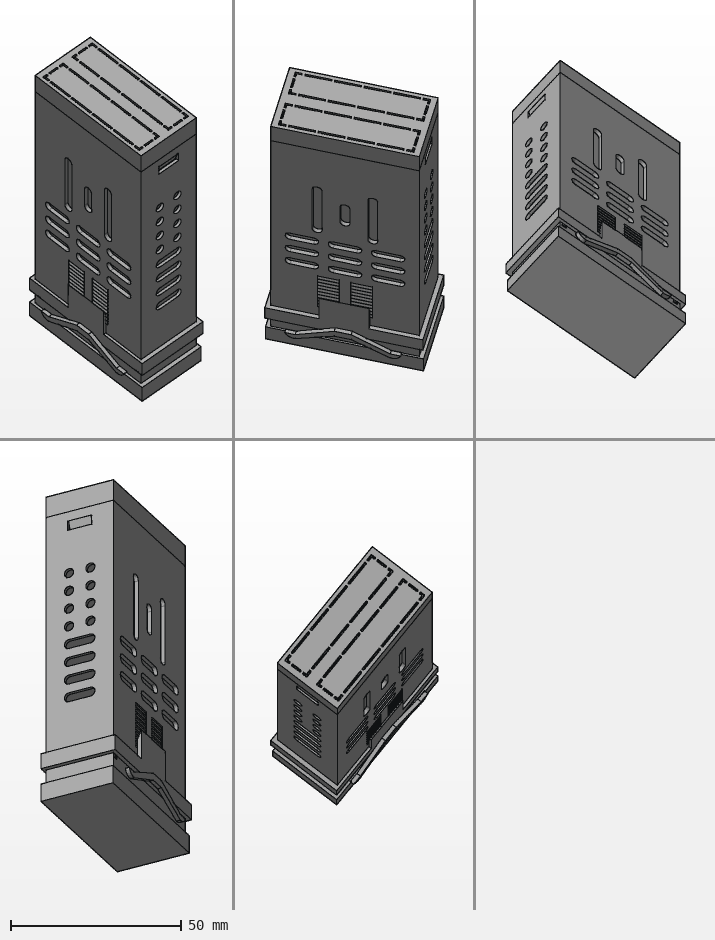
import cadquery as cq
import math


TOTAL_HEIGHT = 103.0
BEZEL_WIDTH = 48.0
BEZEL_DEPTH = 24.0
BEZEL_HEIGHT = 5.9
CAP_HEIGHT = 6.9
CAP_BOTTOM = TOTAL_HEIGHT - CAP_HEIGHT

HOUSING_WIDTH = 45.1
HOUSING_DEPTH = 22.5
HOUSING_HEIGHT = CAP_BOTTOM - BEZEL_HEIGHT
SIDE_WALL = 1.0
BROAD_WALL = 2.5
CAVITY_WIDTH = HOUSING_WIDTH - 2 * SIDE_WALL
CAVITY_DEPTH = HOUSING_DEPTH - 2 * BROAD_WALL
BROAD_FACE = HOUSING_DEPTH / 2

VENT_WIDTH = 3.0
VENT_LENGTH = 10.1
VENT_PITCH = 6.0
BROAD_VENT_DEPTH = 1.3
LOWEST_VENT_Z = 33.6
BROAD_VENT_ROWS = (1, 2, 3)
SIDE_SLOT_ROWS = (0, 1, 2, 3)
SIDE_HOLE_ROWS = (4, 5, 6, 7)
BROAD_VENT_SPACING = 13.1
UPRIGHT_VENT_Z = 67.1
UPRIGHT_VENT_SPACING = 8.4
LONG_VENT_LENGTH = 22.0
SIDE_HOLE_SPREAD = VENT_LENGTH - VENT_WIDTH

RACK_TOP = 34.9
RACK_INNER_X = 1.8
RACK_OUTER_X = 8.3
RACK_WIDTH = RACK_OUTER_X - RACK_INNER_X
RACK_HEIGHT = 15.0
TOOTH_COUNT = 10
TOOTH_PITCH = RACK_HEIGHT / TOOTH_COUNT
TOOTH_LAND = 0.1
TOOTH_ANGLE = 20.0
TOOTH_HEIGHT = TOOTH_PITCH - TOOTH_LAND
TOOTH_DEPTH = TOOTH_HEIGHT * math.tan(math.radians(TOOTH_ANGLE))

NOTCH_X = 20.9
NOTCH_WIDTH = 1.4
NOTCH_BOTTOM = 10.0
NOTCH_HEIGHT = 3.1
NOTCH_FLOOR_DEPTH = 0.2
NOTCH_CEILING_DEPTH = 0.8

WINDOW_WIDTH = 8.0
WINDOW_HEIGHT = 3.1
WINDOW_BOTTOM = 89.9
LATCH_CLEARANCE = 0.3
LATCH_WIDTH = WINDOW_WIDTH - 2 * LATCH_CLEARANCE
HOOK_TAPER = 1.2
TONGUE_THICKNESS = 2.1
TONGUE_BOTTOM = 88.6

PANEL_LENGTH = 41.0
PANEL_WIDTH = 8.1
PANEL_SPACING = 11.8
SCORE_WIDTH = 0.5
SCORE_DEPTH = 1.0
BRIDGE_WIDTH = 0.9
LONG_SIDE_BRIDGES = 5
LONG_BRIDGE_PITCH = 9.0
SHORT_SIDE_BRIDGES = 2
SHORT_BRIDGE_PITCH = 4.1

RING_OFFSET = 0.2
RING_DEPTH = 24.7
RING_BOTTOM = 11.0
RING_HEIGHT = 5.0
TAB_WIDTH = 15.1
TAB_TOP = 26.0
TAB_THICKNESS = 1.4
TAB_BEVEL_HEIGHT = 3.5
RING_FACE = RING_DEPTH / 2

SPRING_THICKNESS = 1.3
SPRING_BOTTOM = BEZEL_HEIGHT
SPRING_TOP = 13.3
SPRING_CREST = 2.6
SPRING_FOOT_TOP = 7.8
SPRING_KNEE_X = 14.4
SPRING_END_X = 17.6
SPRING_END_RADIUS = 3.0
SPRING_SOLE_X = 14.4
SPRING_CREST_THICKNESS = 2.4


def centred_positions(count, pitch):
    """Positions of evenly pitched items, centred on zero."""
    return [(i - (count - 1) / 2) * pitch for i in range(count)]


def vent_z(row):
    return LOWEST_VENT_Z + row * VENT_PITCH


def block(width, depth, height, bottom):
    """Box centred on the Z axis, standing at the given height."""
    return cq.Workplane("XY").workplane(offset=bottom).rect(width, depth).extrude(height)


def on_both_sides(shape):
    """A shape together with its copy turned half way round the Z axis."""
    return shape.add(shape.rotate((0, 0, 0), (0, 0, 1), 180))


def extrude_along_x(points, width, x_centre):
    """Prism of the given width from an outline in the YZ plane."""
    return cq.Workplane("YZ").workplane(offset=x_centre - width / 2).polyline(points).close().extrude(width)


def cut_each(body, tools):
    for tool in tools.vals():
        body = body.cut(cq.Workplane(tool))
    return body


def broad_vents():
    """Blind slots in the two broad faces: a grid of level slots below three upright ones."""
    plane = cq.Workplane("XZ", origin=(0, -BROAD_FACE, 0))
    level_centres = [
        (x, vent_z(row))
        for x in centred_positions(3, BROAD_VENT_SPACING)
        for row in BROAD_VENT_ROWS
    ]
    long_centres = [(side * UPRIGHT_VENT_SPACING, UPRIGHT_VENT_Z) for side in (-1, 1)]
    vents = plane.pushPoints(level_centres).slot2D(VENT_LENGTH, VENT_WIDTH).extrude(-BROAD_VENT_DEPTH)
    vents = vents.add(
        plane.pushPoints(long_centres).slot2D(LONG_VENT_LENGTH, VENT_WIDTH, 90).extrude(-BROAD_VENT_DEPTH)
    )
    vents = vents.add(
        plane.center(0, UPRIGHT_VENT_Z).slot2D(VENT_LENGTH, VENT_WIDTH, 90).extrude(-BROAD_VENT_DEPTH)
    )
    return on_both_sides(vents)


def side_vents():
    """Slots and round holes that pass through both narrow walls."""
    plane = cq.Workplane("YZ")
    half_width = HOUSING_WIDTH / 2
    slot_centres = [(0, vent_z(row)) for row in SIDE_SLOT_ROWS]
    hole_centres = [
        (y, vent_z(row))
        for y in centred_positions(2, SIDE_HOLE_SPREAD)
        for row in SIDE_HOLE_ROWS
    ]
    slots = plane.pushPoints(slot_centres).slot2D(VENT_LENGTH, VENT_WIDTH).extrude(half_width, both=True)
    holes = plane.pushPoints(hole_centres).circle(VENT_WIDTH / 2).extrude(half_width, both=True)
    return slots.add(holes)


def ratchet_racks():
    """Rows of tooth gaps; each gap is deepest at its top and runs out to the surface below."""
    gaps = cq.Workplane()
    rack_centre = (RACK_INNER_X + RACK_OUTER_X) / 2
    for tooth in range(TOOTH_COUNT):
        top = RACK_TOP - tooth * TOOTH_PITCH
        outline = [
            (-BROAD_FACE, top),
            (-BROAD_FACE + TOOTH_DEPTH, top),
            (-BROAD_FACE, top - TOOTH_HEIGHT),
        ]
        for side in (-1, 1):
            gaps = gaps.add(extrude_along_x(outline, RACK_WIDTH, side * rack_centre))
    return on_both_sides(gaps)


def latch_notches():
    """Notches with a floor that slopes inwards towards the top."""
    outline = [
        (-BROAD_FACE, NOTCH_BOTTOM),
        (-BROAD_FACE + NOTCH_FLOOR_DEPTH, NOTCH_BOTTOM),
        (-BROAD_FACE + NOTCH_CEILING_DEPTH, NOTCH_BOTTOM + NOTCH_HEIGHT),
        (-BROAD_FACE, NOTCH_BOTTOM + NOTCH_HEIGHT),
    ]
    notches = cq.Workplane()
    for side in (-1, 1):
        notches = notches.add(extrude_along_x(outline, NOTCH_WIDTH, side * NOTCH_X))
    return on_both_sides(notches)


def make_housing():
    shell = block(HOUSING_WIDTH, HOUSING_DEPTH, HOUSING_HEIGHT, BEZEL_HEIGHT)
    shell = shell.cut(block(CAVITY_WIDTH, CAVITY_DEPTH, HOUSING_HEIGHT, BEZEL_HEIGHT))
    shell = shell.cut(block(HOUSING_WIDTH, WINDOW_WIDTH, WINDOW_HEIGHT, WINDOW_BOTTOM))
    for tools in (broad_vents(), side_vents(), ratchet_racks(), latch_notches()):
        shell = cut_each(shell, tools)
    return shell


def cap_latches():
    """Tongues inside the narrow walls; each hook tapers inwards towards its bottom."""
    hook_x = HOUSING_WIDTH / 2
    wall_x = CAVITY_WIDTH / 2
    outline = [
        (-hook_x, WINDOW_BOTTOM + WINDOW_HEIGHT),
        (-wall_x, WINDOW_BOTTOM + WINDOW_HEIGHT),
        (-wall_x, CAP_BOTTOM),
        (-wall_x + TONGUE_THICKNESS, CAP_BOTTOM),
        (-wall_x + TONGUE_THICKNESS, TONGUE_BOTTOM),
        (-wall_x, TONGUE_BOTTOM),
        (-wall_x, WINDOW_BOTTOM),
        (-hook_x + HOOK_TAPER, WINDOW_BOTTOM),
    ]
    latch = cq.Workplane("XZ").polyline(outline).close().extrude(LATCH_WIDTH / 2, both=True)
    return on_both_sides(latch)


def knockout_score(y_centre):
    """Groove round one knockout panel, interrupted by narrow bridges."""
    bottom = TOTAL_HEIGHT - SCORE_DEPTH
    score = block(PANEL_LENGTH, PANEL_WIDTH, SCORE_DEPTH, bottom)
    score = score.cut(block(PANEL_LENGTH - 2 * SCORE_WIDTH, PANEL_WIDTH - 2 * SCORE_WIDTH, SCORE_DEPTH, bottom))
    for x in centred_positions(LONG_SIDE_BRIDGES, LONG_BRIDGE_PITCH):
        score = score.cut(block(BRIDGE_WIDTH, PANEL_WIDTH, SCORE_DEPTH, bottom).translate((x, 0, 0)))
    for y in centred_positions(SHORT_SIDE_BRIDGES, SHORT_BRIDGE_PITCH):
        score = score.cut(block(PANEL_LENGTH, BRIDGE_WIDTH, SCORE_DEPTH, bottom).translate((0, y, 0)))
    return score.translate((0, y_centre, 0))


def make_cap():
    cap = block(HOUSING_WIDTH, HOUSING_DEPTH, CAP_HEIGHT, CAP_BOTTOM)
    for latch in cap_latches().vals():
        cap = cap.union(cq.Workplane(latch))
    for y in centred_positions(2, PANEL_SPACING):
        cap = cap.cut(knockout_score(y))
    return cap


def make_bezel():
    """Front plate, flush with the -Y face of the clamp ring."""
    y_centre = BEZEL_DEPTH / 2 - RING_FACE + RING_OFFSET
    return block(BEZEL_WIDTH, BEZEL_DEPTH, BEZEL_HEIGHT, 0).translate((0, y_centre, 0))


def make_clamp_ring():
    """Band round the housing with an upright tab, bevelled at its tip, on each broad side."""
    ring = block(BEZEL_WIDTH, RING_DEPTH, RING_HEIGHT, RING_BOTTOM)
    tab_outline = [
        (-RING_FACE, RING_BOTTOM),
        (-RING_FACE, TAB_TOP),
        (-RING_FACE + TAB_THICKNESS, TAB_TOP - TAB_BEVEL_HEIGHT),
        (-RING_FACE + TAB_THICKNESS, RING_BOTTOM),
    ]
    for tab in on_both_sides(extrude_along_x(tab_outline, TAB_WIDTH, 0)).vals():
        ring = ring.union(cq.Workplane(tab))
    ring = ring.translate((0, RING_OFFSET, 0))
    return ring.cut(block(HOUSING_WIDTH, HOUSING_DEPTH, TAB_TOP, 0))


def make_spring(turn):
    """Bowed leaf spring against a broad face of the ring, turned about the ring's centre."""
    arc_centre_z = SPRING_BOTTOM + SPRING_END_RADIUS
    start_angle = math.asin((arc_centre_z - SPRING_FOOT_TOP) / SPRING_END_RADIUS)
    mid_angle = (start_angle + math.pi / 2) / 2
    arc_centre_x = SPRING_END_X - SPRING_END_RADIUS * math.cos(start_angle)
    arc_mid_x = arc_centre_x + SPRING_END_RADIUS * math.cos(mid_angle)
    arc_mid_z = arc_centre_z - SPRING_END_RADIUS * math.sin(mid_angle)
    crest_underside = SPRING_TOP - SPRING_CREST_THICKNESS
    spring = (
        cq.Workplane("XZ", origin=(0, -RING_FACE, 0))
        .moveTo(-SPRING_CREST, SPRING_TOP)
        .lineTo(SPRING_CREST, SPRING_TOP)
        .lineTo(SPRING_KNEE_X, SPRING_FOOT_TOP)
        .lineTo(SPRING_END_X, SPRING_FOOT_TOP)
        .threePointArc((arc_mid_x, arc_mid_z), (arc_centre_x, SPRING_BOTTOM))
        .lineTo(SPRING_SOLE_X, SPRING_BOTTOM)
        .lineTo(SPRING_CREST, crest_underside)
        .lineTo(-SPRING_CREST, crest_underside)
        .lineTo(-SPRING_SOLE_X, SPRING_BOTTOM)
        .lineTo(-arc_centre_x, SPRING_BOTTOM)
        .threePointArc((-arc_mid_x, arc_mid_z), (-SPRING_END_X, SPRING_FOOT_TOP))
        .lineTo(-SPRING_KNEE_X, SPRING_FOOT_TOP)
        .close()
        .extrude(SPRING_THICKNESS)
    )
    return spring.rotate((0, 0, 0), (0, 0, 1), turn).translate((0, RING_OFFSET, 0))


housing = make_housing()
cap = make_cap()
bezel = make_bezel()
clamp_ring = make_clamp_ring()
springs = [make_spring(turn) for turn in (0, 180)]

result = cq.Compound.makeCompound(
    [housing.val(), cap.val(), bezel.val(), clamp_ring.val(), *[spring.val() for spring in springs]]
)